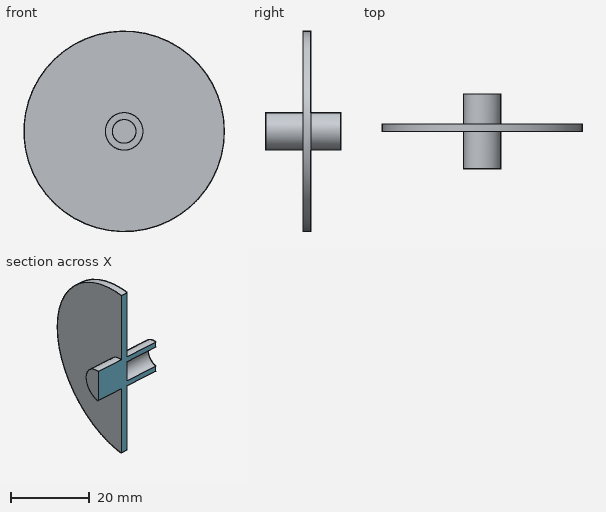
import cadquery as cq

disc_diameter = 50.8
disc_thickness = 2.0

hub_diameter = 9.5
hub_length = 19.05
front_hub_length = 9.45

bore_diameter = 6.0
bore_depth = front_hub_length


def cylinder_along_y(diameter, front_y, length):
    """Cylinder on the Y axis, running from front_y toward +Y."""
    plane = cq.Workplane("XZ", origin=(0, front_y, 0))
    return plane.circle(diameter / 2).extrude(-length)


disc = cylinder_along_y(disc_diameter, 0, disc_thickness)
hub = cylinder_along_y(hub_diameter, -front_hub_length, hub_length)
bore = cylinder_along_y(bore_diameter, -front_hub_length, bore_depth)

result = disc.union(hub).cut(bore)